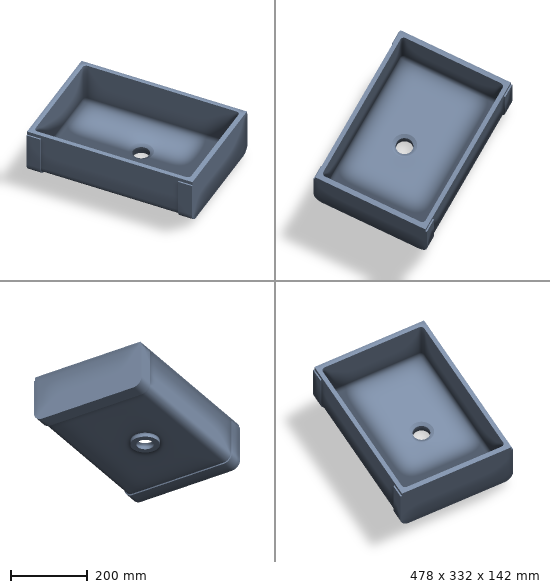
import cadquery as cq

length = 478
pad_span = 332
total_height = 142

pad_thickness = 4
body_width = pad_span - 2 * pad_thickness
body_depth = 130
body_radius = 22

pad_length = 40
pad_top_drop = 10
pad_depth = body_depth + pad_thickness
pad_radius = body_radius + pad_thickness

end_wall = 14
side_wall = 12
floor_thickness = 12
basin_length = length - 2 * end_wall
basin_width = body_width - 2 * side_wall
basin_depth = body_depth - floor_thickness
basin_radius = 10

drain_y = 25
boss_diameter = 77
hole_diameter = 46
funnel_diameter = 66
funnel_depth = 5


def hanging_block(x_length, y_width, top_drop, depth):
    """Centred block reaching from top_drop to depth below the rim."""
    block = cq.Workplane("XY").box(x_length, y_width, depth - top_drop, centered=(True, True, False))
    return block.translate((0, 0, -depth))


def outer_body():
    """Block along X with its two lower long edges rounded."""
    block = hanging_block(length, body_width, 0, body_depth)
    return block.edges("|X and <Z").fillet(body_radius)


def end_pads():
    """Short slices at both ends that stand proud of the body's sides and bottom."""
    pad = hanging_block(pad_length, pad_span, pad_top_drop, pad_depth)
    pad = pad.edges("|X and <Z").fillet(pad_radius)
    offset = (length - pad_length) / 2
    return pad.translate((-offset, 0, 0)).union(pad.translate((offset, 0, 0)))


def basin():
    """Cavity with rounded vertical corners and a rounded floor edge."""
    block = hanging_block(basin_length, basin_width, 0, basin_depth)
    return block.edges("|Z or <Z").fillet(basin_radius)


def drain_boss():
    """Round spigot below the floor, rooted at the basin floor level."""
    return (
        cq.Workplane("XY", origin=(0, drain_y, -total_height))
        .circle(boss_diameter / 2)
        .extrude(total_height - basin_depth)
    )


def drain_opening():
    """Through hole that flares into a cone at the basin floor."""
    floor_z = -basin_depth
    profile = [
        (0, floor_z),
        (funnel_diameter / 2, floor_z),
        (hole_diameter / 2, floor_z - funnel_depth),
        (hole_diameter / 2, -total_height),
        (0, -total_height),
    ]
    opening = cq.Workplane("XZ").polyline(profile).close().revolve(360, (0, 0, 0), (0, 1, 0))
    return opening.translate((0, drain_y, 0))


shell = outer_body().union(end_pads()).union(drain_boss())
result = shell.cut(basin()).cut(drain_opening())